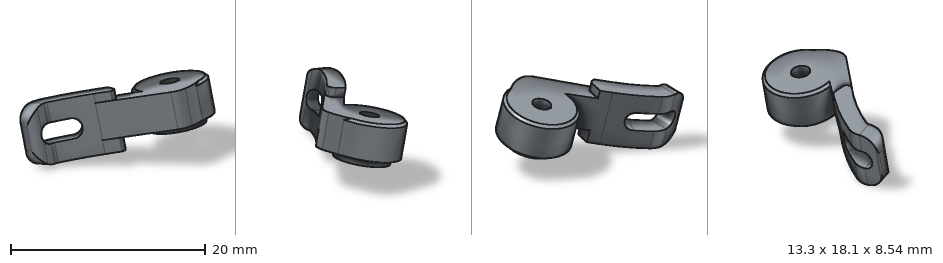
import cadquery as cq
import math

TILT = 15.0
PART_LENGTH = 18.12

DISC_RADIUS = 4.0
DISC_HEIGHT = 4.0
DISC_CHAMFER = 0.3
BOSS_RADIUS = 2.99
BOSS_HEIGHT = 0.8
HOLE_DIAMETER = 2.0
HOLE_DEPTH = 2.0
BORE_DIAMETER = 3.99

HEAD_REACH = 4.35
HEAD_Y = -1.94
HEAD_UPPER_RADIUS = 5.07
HEAD_LOWER_RADIUS = 1.8
HEAD_TOP_Y = 0.87

PLATE_THICKNESS = 1.95
PLATE_TOP = 1.0
PLATE_HEIGHT = 6.5
TIP_X = -8.12
TIP_Y = DISC_RADIUS - PART_LENGTH
TIP_CORNER_RADIUS = 2.0
TIP_INNER_FILLET = 1.0
TIP_OUTER_FILLET = 0.2
BEND_RADIUS = 2.54
SWEEP_RADIUS = 23.55
TIP_HEADING = 90.0
BEND_HEADING = 53.0
ROOT_HEADING = 40.0
ROOT_LENGTH = 1.3
ROOT_END_X = -1.29
ROOT_END_SLOPE = -15.0
ROOT_CORNER_FILLET = 0.55
ROOT_INNER_FILLET = 0.1

SLOT_WIDTH = 2.17
SLOT_TOP_HEADING = 47.5

BEND_Y = TIP_Y + TIP_CORNER_RADIUS
PLATE_BOTTOM = PLATE_TOP - PLATE_HEIGHT
PLATE_MIDDLE = PLATE_TOP - PLATE_HEIGHT / 2


def along(start, heading, distance):
    """Point reached from `start` at `heading` degrees from +X."""
    angle = math.radians(heading)
    return (start[0] + distance * math.cos(angle), start[1] + distance * math.sin(angle))


def at_x(start, heading, x):
    """Point at `x` on the line through `start` at `heading` degrees."""
    return (x, start[1] + (x - start[0]) * math.tan(math.radians(heading)))


BEND_CENTRE = (TIP_X + BEND_RADIUS, BEND_Y)
SWEEP_CENTRE = along(BEND_CENTRE, BEND_HEADING + 90, BEND_RADIUS - SWEEP_RADIUS)


def bend_point(heading, inset):
    """Point of the bend where it runs at `heading`, `inset` in from the outer face."""
    return along(BEND_CENTRE, heading + 90, BEND_RADIUS - inset)


def sweep_point(heading, inset):
    """Point of the sweep where it runs at `heading`, `inset` in from the outer face."""
    return along(SWEEP_CENTRE, heading + 90, SWEEP_RADIUS - inset)


def curved_side(sketch, inset, end_heading):
    """Add the bend and sweep, from the tip up to `end_heading`."""
    bend_middle = (TIP_HEADING + BEND_HEADING) / 2
    sweep_middle = (BEND_HEADING + end_heading) / 2
    sketch = sketch.threePointArc(bend_point(bend_middle, inset), bend_point(BEND_HEADING, inset))
    return sketch.threePointArc(sweep_point(sweep_middle, inset), sweep_point(end_heading, inset))


def curved_side_back(sketch, inset, start_heading):
    """Add the sweep and bend, from `start_heading` back down to the tip."""
    bend_middle = (TIP_HEADING + BEND_HEADING) / 2
    sweep_middle = (BEND_HEADING + start_heading) / 2
    sketch = sketch.threePointArc(sweep_point(sweep_middle, inset), sweep_point(BEND_HEADING, inset))
    return sketch.threePointArc(bend_point(bend_middle, inset), bend_point(TIP_HEADING, inset))


ROOT_OUTER = along(sweep_point(ROOT_HEADING, 0), ROOT_HEADING, ROOT_LENGTH)
ROOT_CORNER = at_x(ROOT_OUTER, ROOT_END_SLOPE, ROOT_END_X)
ROOT_INNER = at_x(sweep_point(ROOT_HEADING, PLATE_THICKNESS), ROOT_HEADING, ROOT_END_X)


def make_disc():
    disc = cq.Workplane("XY").circle(DISC_RADIUS).extrude(-DISC_HEIGHT)
    return disc.faces(">Z").chamfer(DISC_CHAMFER)


def make_boss():
    """Boss whose side flares out in a quarter circle to meet the disc."""
    boss_bottom = -DISC_HEIGHT - BOSS_HEIGHT
    flare_x = BOSS_RADIUS + BOSS_HEIGHT * (1 - math.sqrt(0.5))
    flare_z = boss_bottom + BOSS_HEIGHT * math.sqrt(0.5)
    return (
        cq.Workplane("XZ")
        .moveTo(0, -DISC_HEIGHT)
        .lineTo(BOSS_RADIUS + BOSS_HEIGHT, -DISC_HEIGHT)
        .threePointArc((flare_x, flare_z), (BOSS_RADIUS, boss_bottom))
        .lineTo(0, boss_bottom)
        .close()
        .revolve(360, (0, 0, 0), (0, 1, 0))
    )


def make_arm():
    upper_centre_x = HEAD_REACH - HEAD_UPPER_RADIUS
    rise = HEAD_TOP_Y - HEAD_Y
    head_top = (upper_centre_x + math.sqrt(HEAD_UPPER_RADIUS**2 - rise**2), HEAD_TOP_Y)
    upper_turn = math.degrees(math.asin(rise / HEAD_UPPER_RADIUS))
    upper_middle = along((upper_centre_x, HEAD_Y), upper_turn / 2, HEAD_UPPER_RADIUS)

    lower_centre = (HEAD_REACH - HEAD_LOWER_RADIUS, HEAD_Y)
    arm_end = sweep_point(ROOT_HEADING, PLATE_THICKNESS)
    run = lower_centre[0] - arm_end[0]
    climb = lower_centre[1] - arm_end[1]
    tangent_angle = math.asin(HEAD_LOWER_RADIUS / math.hypot(run, climb))
    tangent_direction = math.degrees(math.atan2(climb, run) - tangent_angle) - 90
    lower_middle = along(lower_centre, tangent_direction / 2, HEAD_LOWER_RADIUS)
    lower_end = along(lower_centre, tangent_direction, HEAD_LOWER_RADIUS)

    return (
        cq.Workplane("XY")
        .moveTo(0, 0)
        .lineTo(*head_top)
        .threePointArc(upper_middle, (HEAD_REACH, HEAD_Y))
        .threePointArc(lower_middle, lower_end)
        .lineTo(*arm_end)
        .lineTo(*ROOT_OUTER)
        .lineTo(*at_x(ROOT_OUTER, ROOT_HEADING, 0))
        .close()
        .extrude(-DISC_HEIGHT)
    )


def make_plate():
    tip_inner_x = TIP_X + PLATE_THICKNESS
    sketch = (
        cq.Workplane("XY", origin=(0, 0, PLATE_BOTTOM))
        .moveTo(TIP_X, TIP_Y)
        .lineTo(TIP_X, BEND_Y)
    )
    sketch = curved_side(sketch, 0, ROOT_HEADING)
    sketch = (
        sketch.lineTo(*ROOT_OUTER)
        .lineTo(*ROOT_CORNER)
        .lineTo(*ROOT_INNER)
        .lineTo(*sweep_point(ROOT_HEADING, PLATE_THICKNESS))
    )
    sketch = curved_side_back(sketch, PLATE_THICKNESS, ROOT_HEADING)
    plate = sketch.lineTo(tip_inner_x, TIP_Y).close().extrude(PLATE_HEIGHT)

    for corner, radius in (
        ((TIP_X, TIP_Y), TIP_OUTER_FILLET),
        ((tip_inner_x, TIP_Y), TIP_INNER_FILLET),
        (ROOT_CORNER, ROOT_CORNER_FILLET),
        (ROOT_INNER, ROOT_INNER_FILLET),
    ):
        plate = plate.edges(cq.NearestToPointSelector((*corner, PLATE_MIDDLE))).fillet(radius)
    return plate.intersect(make_tip_envelope())


def make_tip_envelope():
    """Block that rounds the top and bottom corners of the plate tip."""
    return (
        cq.Workplane("XY", origin=(0, TIP_Y, PLATE_MIDDLE))
        .box(2 * PART_LENGTH, PART_LENGTH, PLATE_HEIGHT, centered=(True, False, True))
        .edges("|X and <Y")
        .fillet(TIP_CORNER_RADIUS)
    )


def make_slot():
    """Slot following the plate, round at both ends."""
    overcut = 0.18
    outside = -overcut
    inside = PLATE_THICKNESS + overcut
    cut_depth = inside - outside
    slot_radius = SLOT_WIDTH / 2
    sketch = (
        cq.Workplane("XY", origin=(0, 0, PLATE_MIDDLE - slot_radius))
        .moveTo(*bend_point(TIP_HEADING, outside))
    )
    sketch = curved_side(sketch, outside, SLOT_TOP_HEADING)
    sketch = sketch.lineTo(*sweep_point(SLOT_TOP_HEADING, inside))
    sketch = curved_side_back(sketch, inside, SLOT_TOP_HEADING)
    slot = sketch.close().extrude(SLOT_WIDTH)

    for (x, y), heading in (
        (bend_point(TIP_HEADING, outside), TIP_HEADING),
        (sweep_point(SLOT_TOP_HEADING, outside), SLOT_TOP_HEADING),
    ):
        start = cq.Vector(x, y, PLATE_MIDDLE)
        inward = cq.Vector(*along((0, 0), heading - 90, 1))
        round_end = cq.Solid.makeCylinder(slot_radius, cut_depth, start, inward)
        slot = slot.union(cq.Workplane(round_end))
    return slot


def make_hole():
    """Through hole that widens into a bore open at the bottom of the boss."""
    full_depth = DISC_HEIGHT + BOSS_HEIGHT
    hole = cq.Workplane("XY").circle(HOLE_DIAMETER / 2).extrude(-full_depth)
    bore = (
        cq.Workplane("XY", origin=(0, 0, -HOLE_DEPTH))
        .circle(BORE_DIAMETER / 2)
        .extrude(HOLE_DEPTH - full_depth)
    )
    return hole.union(bore)


upright = make_disc().union(make_boss()).union(make_arm()).union(make_plate())
upright = upright.cut(make_slot()).cut(make_hole())

result = upright.rotate((0, 0, 0), (0, 1, 0), -TILT)